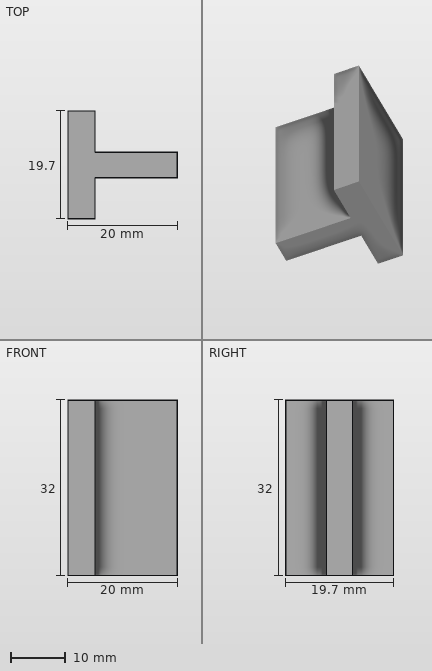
import cadquery as cq

overall_depth = 20.0
flange_width = 19.7
flange_thickness = 5.0
web_thickness = 4.7
height = 32.0

web_length = overall_depth - flange_thickness


def make_flange():
    """Wide plate on the -X side, centred on Y."""
    return cq.Workplane("XY").box(
        flange_thickness, flange_width, height, centered=(False, True, False)
    )


def make_web():
    """Narrow plate running from the flange toward +X, centred on Y."""
    return (
        cq.Workplane("XY")
        .center(flange_thickness, 0)
        .box(web_length, web_thickness, height, centered=(False, True, False))
    )


result = make_flange().union(make_web())